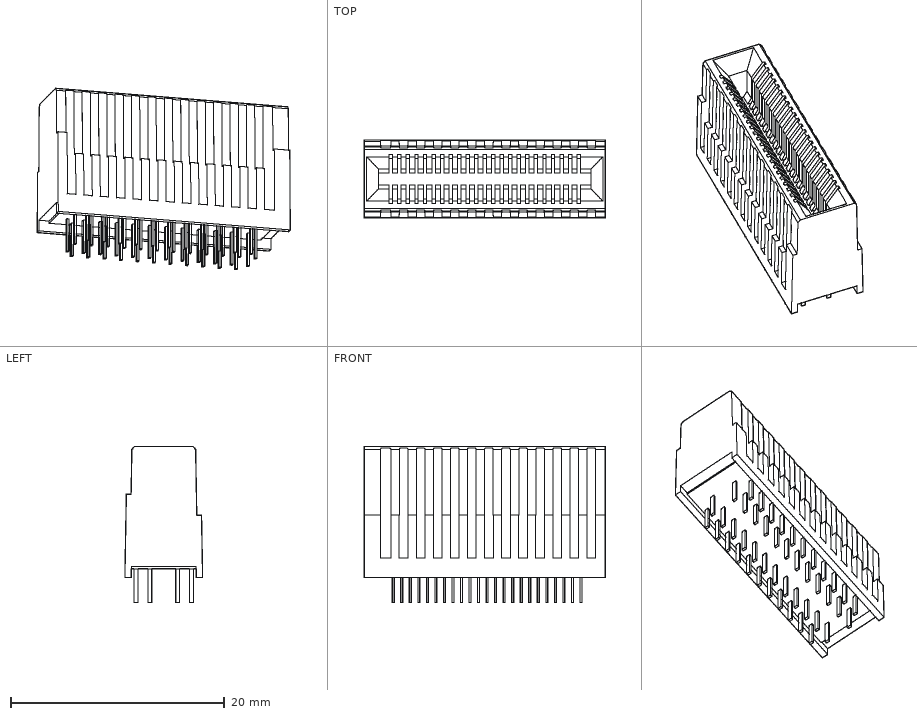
import cadquery as cq
import math

length = 22.6
width = 7.31
housing_height = 12.3
draft = math.tan(math.radians(1))
top_chamfer_height = 0.27
top_chamfer_width = 0.25
upper_half_width = 3.0
shelf_z = 5.85
end_shelf_z = 7.83

channel_half_width = 3.03
channel_height = 1.04
plate_thickness = 0.22
plate_end_inset = 1.0

groove_count = 13
groove_pitch = 1.6
first_groove_x = -9.21
groove_width = 0.8
groove_extra_width = 0.15
groove_depth = 0.1
groove_floor_radius = 0.1
groove_bottom_z = 1.82

mouth_half_length = 11.07
mouth_half_width = 2.08
mouth_depth = 1.56
card_half_length = 9.97
card_half_width = 0.94
card_slot_depth = 5.0
slot_floor_half_width = 0.58
floor_taper_height = 0.65

contact_count = 23
contact_pitch = 0.8
contact_groove_width = 0.32
contact_top_half_width = 2.31
contact_floor_half_width = 1.9

pin_length = 2.33
pin_width_x = 0.2
pin_width_y = 0.38
pin_shift_x = 0.22
outer_row_y = 2.6
inner_row_y = 1.3

slot_floor_z = housing_height - card_slot_depth
clearance = 0.5


def upper_wall_y(z):
    """Half width of the upper housing at height z."""
    return upper_half_width + (housing_height - top_chamfer_height - z) * draft


def lower_wall_y(z):
    """Half width of the thick lower walls at height z."""
    return width / 2 - z * draft


def prism_along_x(points, x_start, x_end):
    """Extrude a closed (y, z) outline between two X positions."""
    outline = cq.Workplane("YZ", origin=(x_start, 0, 0)).polyline(points).close()
    return outline.extrude(x_end - x_start)


def housing_section(rear_shelf_z, x_start, x_end):
    """Length of the stepped housing whose rear step is at rear_shelf_z."""
    chamfer_y = upper_half_width - top_chamfer_width
    chamfer_z = housing_height - top_chamfer_height
    points = [
        (-lower_wall_y(0), 0),
        (-lower_wall_y(shelf_z), shelf_z),
        (-upper_wall_y(shelf_z), shelf_z),
        (-upper_half_width, chamfer_z),
        (-chamfer_y, housing_height),
        (chamfer_y, housing_height),
        (upper_half_width, chamfer_z),
        (upper_wall_y(rear_shelf_z), rear_shelf_z),
        (lower_wall_y(rear_shelf_z), rear_shelf_z),
        (lower_wall_y(0), 0),
        (channel_half_width, 0),
        (channel_half_width, channel_height),
        (-channel_half_width, channel_height),
        (-channel_half_width, 0),
    ]
    return prism_along_x(points, x_start, x_end)


def housing():
    """Stepped housing with taller rear blocks outside the first and last grooves."""
    end_x = length / 2
    last_groove_x = first_groove_x + (groove_count - 1) * groove_pitch
    left = housing_section(end_shelf_z, -end_x, first_groove_x)
    middle = housing_section(shelf_z, first_groove_x, last_groove_x)
    right = housing_section(end_shelf_z, last_groove_x, end_x)
    return left.union(middle).union(right)


def wall_groove(x, extra_width):
    """Groove cutter for the front wall, leaning with the draft of that wall."""
    floor_y = upper_wall_y(groove_bottom_z) - groove_depth
    open_y = width / 2 + clearance
    flare = (open_y - floor_y) * draft
    left = x - groove_width / 2 - extra_width
    right = x + groove_width / 2
    corners = [
        cq.Vector(left, -floor_y, groove_bottom_z),
        cq.Vector(right, -floor_y, groove_bottom_z),
        cq.Vector(right + flare, -open_y, groove_bottom_z),
        cq.Vector(left - flare, -open_y, groove_bottom_z),
    ]
    rise = housing_height + clearance - groove_bottom_z
    outline = cq.Wire.makePolygon(corners, close=True)
    floor_corners = [v for v in outline.Vertices() if math.isclose(v.Y, -floor_y)]
    outline = outline.fillet2D(groove_floor_radius, floor_corners)
    return cq.Solid.extrudeLinear(outline, [], cq.Vector(0, rise * draft, rise))


def wall_grooves():
    """All grooves of the front wall, mirrored onto the rear wall."""
    front = cq.Workplane()
    for i in range(groove_count):
        extra_width = groove_extra_width if i == 0 else 0
        front.add(wall_groove(first_groove_x + i * groove_pitch, extra_width))
    front = front.combine()
    return front.union(front.mirror("XZ"))


def card_slot():
    """Cutter for the card slot: mouth, straight walls and narrowed bottom."""
    mouth_bottom_z = housing_height - mouth_depth
    mouth = (
        cq.Workplane(origin=(0, 0, housing_height))
        .rect(2 * mouth_half_length, 2 * mouth_half_width)
        .workplane(offset=-mouth_depth)
        .rect(2 * card_half_length, 2 * card_half_width)
        .loft(ruled=True)
    )
    taper_z = slot_floor_z + floor_taper_height
    points = [
        (-slot_floor_half_width, slot_floor_z),
        (slot_floor_half_width, slot_floor_z),
        (card_half_width, taper_z),
        (card_half_width, mouth_bottom_z),
        (-card_half_width, mouth_bottom_z),
        (-card_half_width, taper_z),
    ]
    return mouth.union(prism_along_x(points, -card_half_length, card_half_length))


def row_x(i):
    """X of contact i, centred on the housing."""
    return (i - (contact_count - 1) / 2) * contact_pitch


def contact_grooves():
    """Cutters for the contact grooves, which narrow towards the slot floor."""
    points = [
        (-contact_floor_half_width, slot_floor_z),
        (contact_floor_half_width, slot_floor_z),
        (contact_top_half_width, housing_height),
        (-contact_top_half_width, housing_height),
    ]
    half = contact_groove_width / 2
    grooves = cq.Workplane()
    for i in range(contact_count):
        grooves.add(prism_along_x(points, row_x(i) - half, row_x(i) + half))
    return grooves.combine()


def bottom_plate():
    """Plate under the channel roof."""
    plate_length = length - 2 * plate_end_inset
    plate = cq.Workplane(origin=(0, 0, channel_height - plate_thickness))
    return plate.rect(plate_length, 2 * channel_half_width).extrude(plate_thickness)


def pins():
    """Pins alternating along X between the inner and the outer pair of rows."""
    points = []
    for i in range(contact_count):
        row_y = inner_row_y if i % 2 == 0 else outer_row_y
        points.append((row_x(i) + pin_shift_x, -row_y))
        points.append((row_x(i) + pin_shift_x, row_y))
    base = cq.Workplane(origin=(0, 0, -pin_length)).pushPoints(points)
    return base.rect(pin_width_x, pin_width_y).extrude(pin_length + channel_height)


result = housing().cut(wall_grooves()).cut(card_slot()).cut(contact_grooves())
result = result.union(bottom_plate()).union(pins())